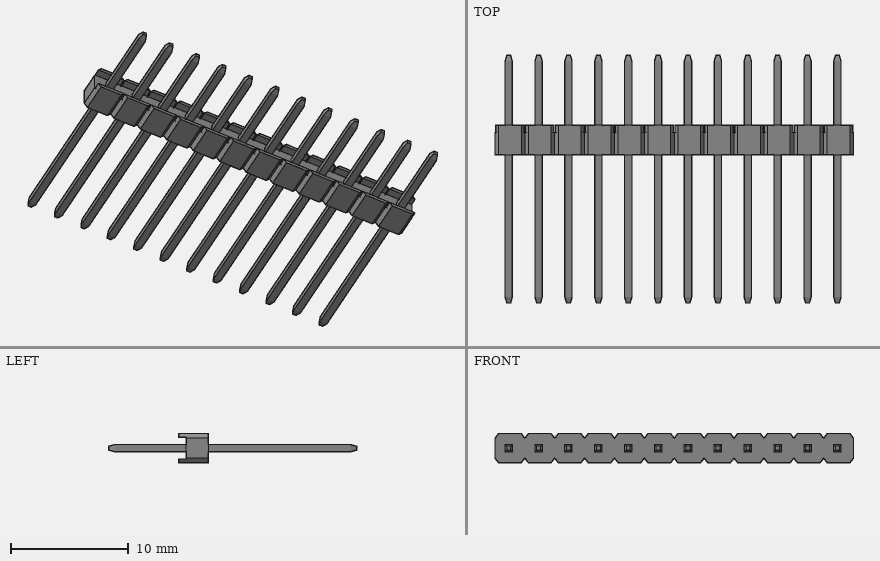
import cadquery as cq

PIN_COUNT = 12
ROW_LENGTH = 30.48
PITCH = ROW_LENGTH / PIN_COUNT

BODY_HEIGHT = 2.5
BODY_DEPTH = 2.53
BODY_FRONT_Y = 2.07
BODY_REAR_Y = BODY_FRONT_Y + BODY_DEPTH
CORNER_WIDTH = 0.3
CORNER_HEIGHT = 0.4

CHANNEL_DEPTH = 0.65
CHANNEL_OVERLAP = 0.05
CHANNEL_HEIGHT = BODY_HEIGHT - 2 * CORNER_HEIGHT + 2 * CHANNEL_OVERLAP

PIN_LENGTH = 21.1
PIN_WIDTH = 0.65
TIP_WIDTH = 0.35
TIP_LENGTH = 0.52
PIN_OFFSET_X = -0.1


def cell_center_x(index):
    """X position of one pin cell, with the row centred on the origin."""
    return (index - (PIN_COUNT - 1) / 2) * PITCH


def body_cell(x):
    """One octagonal cell of the body; neighbours form the V notches between pins."""
    half_width = PITCH / 2
    half_height = BODY_HEIGHT / 2
    flat_x = half_width - CORNER_WIDTH
    side_z = half_height - CORNER_HEIGHT
    outline = [
        (flat_x, half_height),
        (half_width, side_z),
        (half_width, -side_z),
        (flat_x, -half_height),
        (-flat_x, -half_height),
        (-half_width, -side_z),
        (-half_width, side_z),
        (-flat_x, half_height),
    ]
    return (
        cq.Workplane("XZ", origin=(x, BODY_FRONT_Y, 0))
        .polyline(outline)
        .close()
        .extrude(-BODY_DEPTH)
    )


def rear_channel():
    """Slot open at both ends of the row and at the rear face of the body."""
    return cq.Workplane("XY").box(ROW_LENGTH, CHANNEL_DEPTH, CHANNEL_HEIGHT).translate(
        (0, BODY_REAR_Y - CHANNEL_DEPTH / 2, 0)
    )


def pin_tip(x, direction):
    """Square pyramid frustum at one end of a pin; direction is +1 (rear) or -1 (front)."""
    tip_base_y = direction * (PIN_LENGTH / 2 - TIP_LENGTH)
    return (
        cq.Workplane("XZ", origin=(x, tip_base_y, 0))
        .rect(PIN_WIDTH, PIN_WIDTH)
        .workplane(offset=-direction * TIP_LENGTH)
        .rect(TIP_WIDTH, TIP_WIDTH)
        .loft(ruled=True)
    )


def pin(x):
    """Straight square shank with a tapered tip at each end."""
    shank_length = PIN_LENGTH - 2 * TIP_LENGTH
    shank = cq.Workplane("XY").box(PIN_WIDTH, shank_length, PIN_WIDTH).translate((x, 0, 0))
    return shank.union(pin_tip(x, 1)).union(pin_tip(x, -1))


cell_positions = [cell_center_x(index) for index in range(PIN_COUNT)]

body = body_cell(cell_positions[0])
for cell_x in cell_positions[1:]:
    body = body.union(body_cell(cell_x))
body = body.cut(rear_channel()).clean()

result = body
for cell_x in cell_positions:
    result = result.union(pin(cell_x + PIN_OFFSET_X))